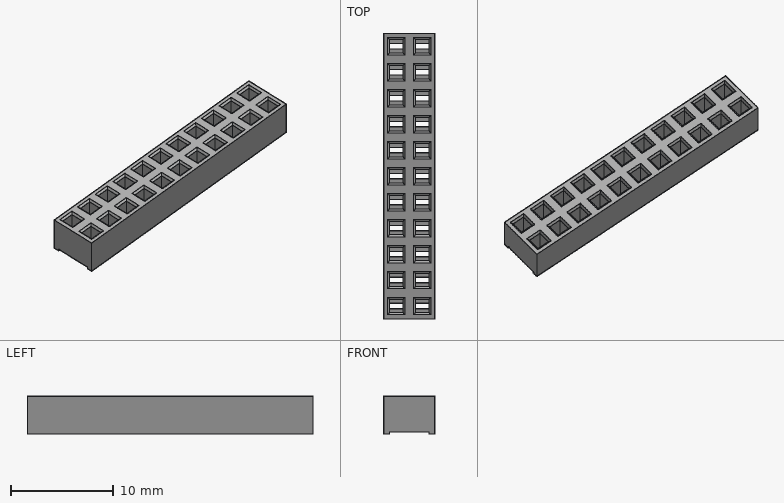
import cadquery as cq

PITCH = 2.54
ROWS = 11
COLUMNS = 2
WIDTH = 5.0
LENGTH = ROWS * PITCH
HEIGHT = 3.7

WELL_SIZE = 1.3
MOUTH_DEPTH = 0.2
MOUTH_SIZE = WELL_SIZE + 2 * MOUTH_DEPTH
SLOT_WIDTH = 0.5
FLOOR_THICKNESS = 0.5

RAIL_WIDTH = (WIDTH - (COLUMNS - 1) * PITCH - WELL_SIZE) / 2
RAIL_HEIGHT = 0.2

FLOOR_TOP = RAIL_HEIGHT + FLOOR_THICKNESS
MOUTH_BOTTOM = HEIGHT - MOUTH_DEPTH


def make_housing():
    """Solid block with a channel between the two rails."""
    block = cq.Workplane("XY").box(WIDTH, LENGTH, HEIGHT, centered=(True, True, False))
    channel_width = WIDTH - 2 * RAIL_WIDTH
    channel = cq.Workplane("XY").box(channel_width, LENGTH, RAIL_HEIGHT, centered=(True, True, False))
    return block.cut(channel)


def make_cavity():
    """Cutting body for one contact cavity, centred on the Z axis."""
    slot = cq.Workplane("XY").rect(WELL_SIZE, SLOT_WIDTH).extrude(HEIGHT)
    well = (
        cq.Workplane("XY", origin=(0, 0, FLOOR_TOP))
        .rect(WELL_SIZE, WELL_SIZE)
        .extrude(HEIGHT - FLOOR_TOP)
    )
    mouth = (
        cq.Workplane("XY", origin=(0, 0, MOUTH_BOTTOM))
        .rect(WELL_SIZE, WELL_SIZE)
        .workplane(offset=MOUTH_DEPTH)
        .rect(MOUTH_SIZE, MOUTH_SIZE)
        .loft(ruled=True)
    )
    return slot.union(well).union(mouth)


def cavity_grid():
    """All contact cavities on the pin grid, centred on the housing."""
    cavity = make_cavity().val()
    return (
        cq.Workplane("XY")
        .rarray(PITCH, PITCH, COLUMNS, ROWS)
        .eachpoint(lambda place: cavity.moved(place))
    )


housing = make_housing().cut(cavity_grid())
result = cq.Workplane(housing.solids().val())